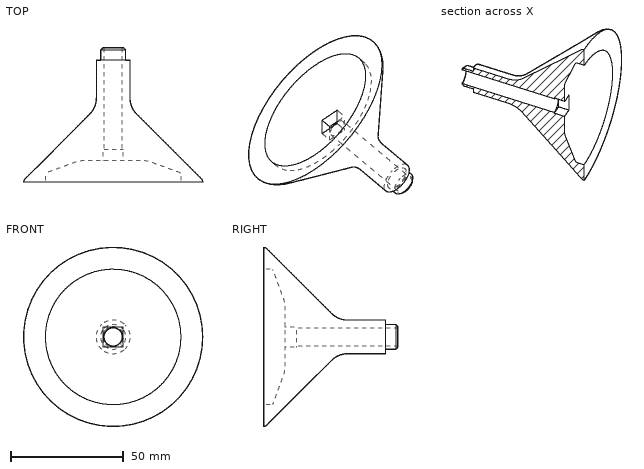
import cadquery as cq
import math


rim_radius = 39.7
rim_height = 0.9
rim_fillet = 2.0
shaft_radius = 15.0 / 2
flare_radius = 10.0
shaft_end = 54.0
pin_radius = 11.0 / 2
pin_chamfer = 0.95
total_length = 59.5

mouth_radius = 60.0 / 2
wall_angle = math.radians(20)
mouth_blend = 1.0
floor_blend = 10.0
floor_radius = 13.25
floor_depth = 9.5

bore_diameter = 8.0
socket_side = 8.9
socket_depth = 5.0


def revolve_about_y(profile):
    return profile.close().revolve(360, (0, 0, 0), (0, 1, 0))


def make_body():
    diagonal = math.sqrt(0.5)
    half_slope = math.tan(math.radians(45 / 2))
    rim_tangent = rim_fillet * half_slope
    rim_round_start = (rim_radius, rim_height - rim_tangent)
    rim_round_end = (rim_radius - rim_tangent * diagonal, rim_height + rim_tangent * diagonal)

    corner_height = rim_height + rim_radius - shaft_radius
    flare_tangent = flare_radius * half_slope
    shaft_start = corner_height + flare_tangent
    flare_start = (shaft_radius + flare_tangent * diagonal, corner_height - flare_tangent * diagonal)

    profile = (
        cq.Workplane("XY")
        .lineTo(rim_radius, 0)
        .lineTo(*rim_round_start)
        .radiusArc(rim_round_end, -rim_fillet)
        .lineTo(*flare_start)
        .radiusArc((shaft_radius, shaft_start), flare_radius)
        .lineTo(shaft_radius, shaft_end)
        .lineTo(pin_radius, shaft_end)
        .lineTo(pin_radius, total_length - pin_chamfer)
        .lineTo(pin_radius - pin_chamfer, total_length)
        .lineTo(0, total_length)
    )
    return revolve_about_y(profile)


def make_recess():
    floor_blend_end = (
        floor_radius + floor_blend * math.sin(wall_angle),
        floor_depth - floor_blend * (1 - math.cos(wall_angle)),
    )
    wall_edge_radius = mouth_radius - mouth_blend * (1 - math.sin(wall_angle))
    wall_rise = (wall_edge_radius - floor_blend_end[0]) * math.tan(wall_angle)
    wall_edge_depth = floor_blend_end[1] - wall_rise
    mouth_depth = wall_edge_depth - mouth_blend * math.cos(wall_angle)

    profile = (
        cq.Workplane("XY")
        .lineTo(mouth_radius, 0)
        .lineTo(mouth_radius, mouth_depth)
        .radiusArc((wall_edge_radius, wall_edge_depth), -mouth_blend)
        .lineTo(*floor_blend_end)
        .radiusArc((floor_radius, floor_depth), -floor_blend)
        .lineTo(0, floor_depth)
    )
    return revolve_about_y(profile)


def make_bore():
    return cq.Workplane("XZ").circle(bore_diameter / 2).extrude(-total_length)


def make_socket():
    socket_end = floor_depth + socket_depth
    return cq.Workplane("XZ").rect(socket_side, socket_side).extrude(-socket_end)


result = make_body().cut(make_recess()).cut(make_bore()).cut(make_socket())